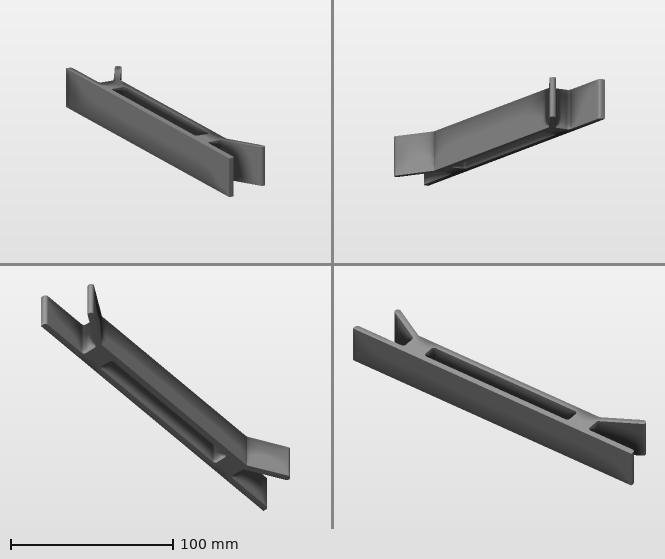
import cadquery as cq
import math

length = 212.0
depth = 25.0

wall = 4.0
channel_height = 10.0
deck_underside = wall + channel_height
deck_top = deck_underside + wall

web_outer_x = 70.0
web_thickness = 15.0
window_width = 2 * (web_outer_x - web_thickness)

arm_angle = 30.0
arm_length = 29.0

arm_rise = wall / math.cos(math.radians(arm_angle))
arm_root_x = web_outer_x - (arm_rise - wall) / math.tan(math.radians(arm_angle))

corner_radius = 2.0
tip_radius = wall / 2

along_x = math.cos(math.radians(arm_angle))
along_y = math.sin(math.radians(arm_angle))
across_x = along_y
across_y = -along_x


def arm_point(along, across):
    """Point on the right arm, measured from the root of its upper face."""
    return (
        arm_root_x + along * along_x + across * across_x,
        deck_top + along * along_y + across * across_y,
    )


def make_half_section():
    """Right half of the profile, extruded, with its web and base corners rounded."""
    tip_start = arm_length - tip_radius
    half = (
        cq.Workplane("XY")
        .moveTo(0, 0)
        .lineTo(length / 2, 0)
        .lineTo(length / 2, wall)
        .lineTo(web_outer_x, wall)
        .lineTo(web_outer_x, deck_underside)
        .lineTo(*arm_point(tip_start, wall))
        .threePointArc(arm_point(arm_length, wall / 2), arm_point(tip_start, 0))
        .lineTo(arm_root_x, deck_top)
        .lineTo(0, deck_top)
        .close()
        .extrude(depth)
    )
    rounded_corners = (
        (length / 2, wall),
        (web_outer_x, wall),
        (web_outer_x, deck_underside),
    )
    for x, y in rounded_corners:
        corner_edge = cq.selectors.NearestToPointSelector((x, y, depth / 2))
        half = half.edges("|Z").edges(corner_edge).fillet(corner_radius)
    return half


def make_window():
    """Rounded opening between the two webs."""
    return (
        cq.Workplane("XY")
        .center(0, wall + channel_height / 2)
        .rect(window_width, channel_height)
        .extrude(depth)
        .edges("|Z")
        .fillet(corner_radius)
    )


right_half = make_half_section()
left_half = right_half.mirror("YZ")
result = right_half.union(left_half).clean().cut(make_window())